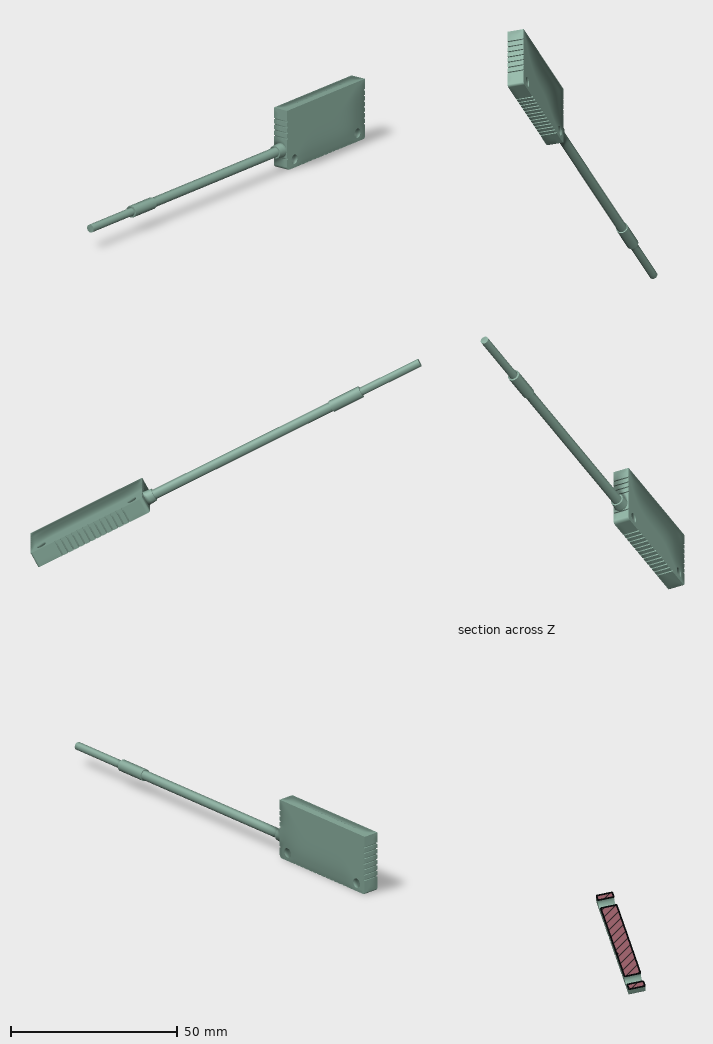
import cadquery as cq

overall_length = 131.0
head_length = 38.0
head_width = 5.1
head_height = 19.0
front_corner_radius = 1.0
back_corner_radius = 0.7

mount_diameter = 3.0
mount_front_distance = 3.5
mount_spacing = 30.8
mount_height = 2.6

groove_width = 0.47
groove_depth = 0.46
end_groove_margin = 3.5
front_upper_groove_count = 4
back_groove_count = 7
back_groove_span = 10.7
end_groove_pitch = back_groove_span / (back_groove_count - 1)
base_groove_margin = 7.0
base_groove_count = 13
base_groove_span = 22.7
base_groove_pitch = base_groove_span / (base_groove_count - 1)

fibre_count = 32
fibre_front_margin = 6.7
fibre_row_span = 24.5
fibre_pitch = fibre_row_span / (fibre_count - 1)
fibre_diameter = 0.3
fibre_depth = 0.7

cable_height = 6.0
collar_base_diameter = 4.5
collar_end_diameter = 3.9
collar_length = 2.8
cable_diameter = 3.0
sleeve_diameter = 3.7
sleeve_length = 10.1
tail_diameter = 2.5
tail_length = 19.9


def make_head():
    """Rectangular block with its two lower end corners rounded."""
    block = cq.Workplane("XY").box(
        head_width, head_length, head_height, centered=(True, False, False)
    )
    block = block.edges("|X and <Y and <Z").fillet(front_corner_radius)
    return block.edges("|X and >Y and <Z").fillet(back_corner_radius)


def make_mounting_holes():
    """Two bores along X near the lower corners."""
    hole_places = [
        (mount_front_distance, mount_height),
        (mount_front_distance + mount_spacing, mount_height),
    ]
    return (
        cq.Workplane("YZ")
        .pushPoints(hole_places)
        .circle(mount_diameter / 2)
        .extrude(head_width, both=True)
    )


def make_grooves():
    """Square grooves across the full width, centred on the face they cut."""
    upper_groove_height = head_height - end_groove_margin
    places = [(0, end_groove_margin)]
    for i in range(front_upper_groove_count):
        places.append((0, upper_groove_height - i * end_groove_pitch))
    for i in range(back_groove_count):
        places.append((head_length, upper_groove_height - i * end_groove_pitch))
    end_grooves = (
        cq.Workplane("YZ")
        .pushPoints(places)
        .rect(2 * groove_depth, groove_width)
        .extrude(head_width, both=True)
    )
    base_places = [(base_groove_margin + i * base_groove_pitch, 0) for i in range(base_groove_count)]
    base_grooves = (
        cq.Workplane("YZ")
        .pushPoints(base_places)
        .rect(groove_width, 2 * groove_depth)
        .extrude(head_width, both=True)
    )
    return end_grooves.add(base_grooves).combine()


def make_fibre_holes():
    """Line of small blind holes along the middle of the top face."""
    row_centre = fibre_front_margin + fibre_row_span / 2
    return (
        cq.Workplane("XY", origin=(0, row_centre, head_height))
        .rarray(1.3, fibre_pitch, 1, fibre_count)
        .circle(fibre_diameter / 2)
        .extrude(-fibre_depth)
    )


def make_cable():
    """Collar, cable, sleeve and tail turned as one profile about the cable axis."""
    cable_end = head_length - overall_length
    sleeve_end = cable_end + tail_length
    sleeve_start = sleeve_end + sleeve_length
    profile = [
        (0, 0),
        (collar_base_diameter / 2, 0),
        (collar_end_diameter / 2, -collar_length),
        (cable_diameter / 2, -collar_length),
        (cable_diameter / 2, sleeve_start),
        (sleeve_diameter / 2, sleeve_start),
        (sleeve_diameter / 2, sleeve_end),
        (tail_diameter / 2, sleeve_end),
        (tail_diameter / 2, cable_end),
        (0, cable_end),
    ]
    return (
        cq.Workplane("XY", origin=(0, 0, cable_height))
        .polyline(profile)
        .close()
        .revolve(360, (0, 0, 0), (0, 1, 0))
    )


head = make_head().cut(make_mounting_holes()).cut(make_grooves()).cut(make_fibre_holes())
result = head.union(make_cable())